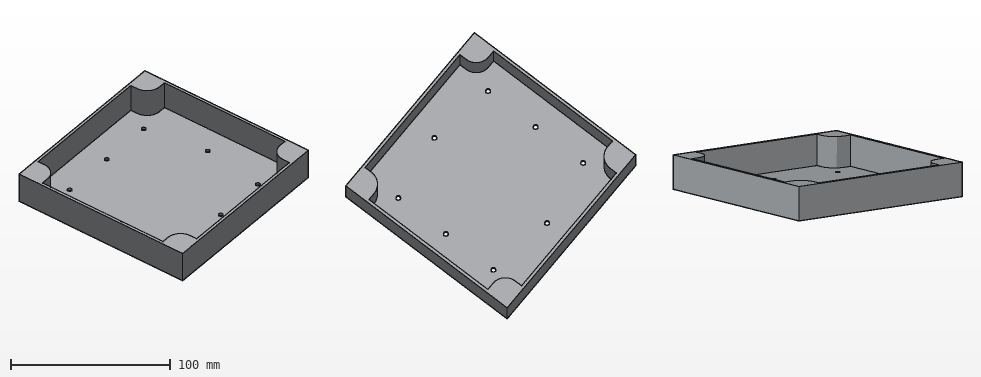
import cadquery as cq

side = 129.0
height = 22.0
wall = 2.0
floor = 2.0

post_size = 15.0
post_radius = 10.0

hole_diameter = 3.0
hole_offset = 45.0
corner_hole_offset_y = 38.0

cavity_side = side - 2 * wall
cavity_depth = height - floor
post_center = (cavity_side - post_size) / 2
hole_points = [
    (0, hole_offset),
    (0, -hole_offset),
]
for x in (-hole_offset, hole_offset):
    for y in (-corner_hole_offset_y, 0, corner_hole_offset_y):
        hole_points.append((x, y))


def make_tray():
    """Square box, open at the top, with an even wall and floor."""
    body = cq.Workplane("XY").box(side, side, height, centered=(True, True, False))
    cavity = (
        cq.Workplane("XY")
        .workplane(offset=floor)
        .rect(cavity_side, cavity_side)
        .extrude(cavity_depth)
    )
    return body.cut(cavity)


def make_corner_post(x_sign, y_sign):
    """Full-height post whose vertical edge facing the tray centre is rounded."""
    inward_edge = cq.selectors.NearestToPointSelector((0, 0, floor + cavity_depth / 2))
    return (
        cq.Workplane("XY")
        .workplane(offset=floor)
        .center(x_sign * post_center, y_sign * post_center)
        .rect(post_size, post_size)
        .extrude(cavity_depth)
        .edges("|Z")
        .edges(inward_edge)
        .fillet(post_radius)
    )


def drill_floor_holes(body):
    """Plain round holes straight through the floor."""
    drills = cq.Workplane("XY").pushPoints(hole_points).circle(hole_diameter / 2).extrude(floor)
    return body.cut(drills)


tray = make_tray()
for x_sign in (-1, 1):
    for y_sign in (-1, 1):
        tray = tray.union(make_corner_post(x_sign, y_sign))

result = drill_floor_holes(tray)